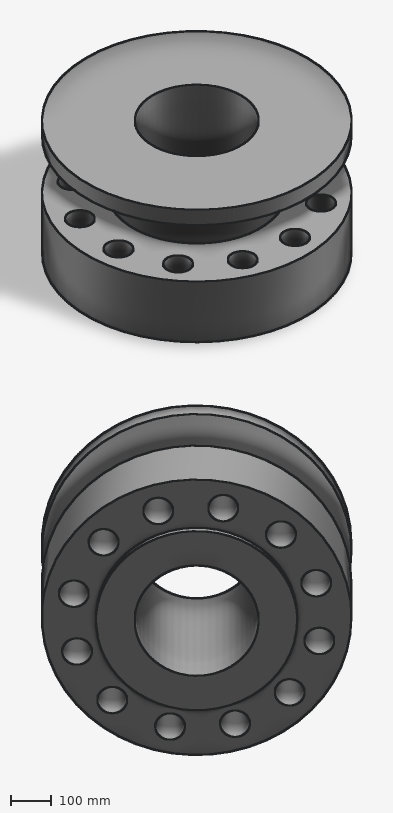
import cadquery as cq

outer_diameter = 762.0
bore_diameter = 305.0

raised_face_diameter = 495.0
raised_face_height = 18.0
flange_thickness = 183.0

neck_diameter = 442.0
neck_height = 76.0
neck_chamfer = 2.0
cone_height = 94.0
disc_thickness = 46.5

bolt_hole_count = 12
bolt_hole_diameter = 73.0
bolt_circle_diameter = 618.0

flange_bottom = raised_face_height
flange_top = flange_bottom + flange_thickness
neck_top = flange_top + neck_height
disc_bottom = neck_top + cone_height
disc_top = disc_bottom + disc_thickness


def revolved_body():
    """Flange, neck, cone and disc turned about Z, with the bore left open."""
    bore_radius = bore_diameter / 2
    outer_radius = outer_diameter / 2
    neck_radius = neck_diameter / 2
    raised_face_radius = raised_face_diameter / 2
    half_section = [
        (bore_radius, 0),
        (raised_face_radius, 0),
        (raised_face_radius, flange_bottom),
        (outer_radius, flange_bottom),
        (outer_radius, flange_top),
        (neck_radius - neck_chamfer, flange_top),
        (neck_radius, flange_top + neck_chamfer),
        (neck_radius, neck_top),
        (outer_radius, disc_bottom),
        (outer_radius, disc_top),
        (bore_radius, disc_top),
    ]
    axis_start = (0, 0)
    axis_end = (0, 1)
    return cq.Workplane("XZ").polyline(half_section).close().revolve(360, axis_start, axis_end)


def bolt_holes():
    """Ring of cylinders through the flange, the first one on the +X axis."""
    return (
        cq.Workplane("XY", origin=(0, 0, flange_bottom))
        .polarArray(bolt_circle_diameter / 2, 0, 360, bolt_hole_count)
        .circle(bolt_hole_diameter / 2)
        .extrude(flange_thickness)
    )


result = revolved_body().cut(bolt_holes())